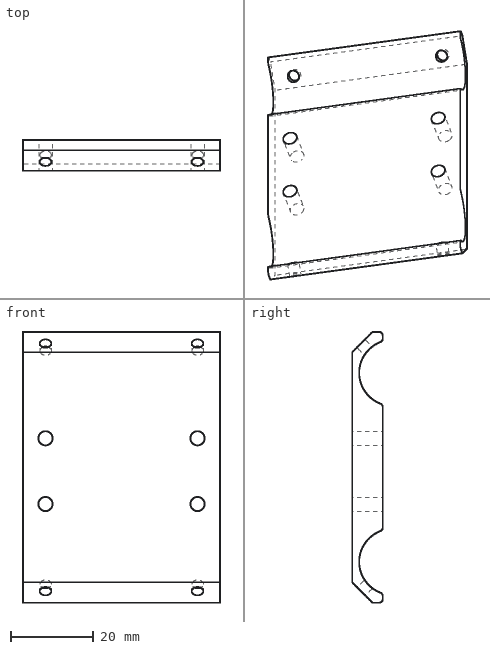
import cadquery as cq

length = 48.0
thickness = 7.5
height = 66.0
edge_bevel = 5.0

saddle_radius = 8.0
saddle_depth = 5.75
saddle_z = 23.0
saddle_y = thickness - saddle_depth + saddle_radius

back_fillet = 1.0

hole_x = 18.5
plate_hole_diameter = 3.4
plate_hole_spacing_z = 16.0
plate_hole_offset_z = -0.93
lip_hole_diameter = 2.8
lip_hole_y = 2.15


def make_plate():
    """Plate with both long front edges bevelled at 45 degrees."""
    plate = cq.Workplane("XY").box(length, thickness, height, centered=(True, False, True))
    return plate.faces("<Y").edges("|X").chamfer(edge_bevel)


def saddle(side):
    """Cylinder that cuts one tube saddle; side is +1 for the upper and -1 for the lower."""
    return (
        cq.Workplane("YZ", origin=(-length / 2, 0, 0))
        .center(saddle_y, side * saddle_z)
        .circle(saddle_radius)
        .extrude(length)
    )


def round_back_edges(body):
    """Round the outer corners and the saddle mouths on the back face."""
    return body.faces(">Y").edges("|X").fillet(back_fillet)


def plate_hole(x, side):
    """Straight hole through the plate thickness."""
    z = plate_hole_offset_z + side * plate_hole_spacing_z / 2
    start = cq.Vector(x, 0, z)
    inward = cq.Vector(0, 1, 0)
    return cq.Solid.makeCylinder(plate_hole_diameter / 2, thickness, start, inward)


def lip_hole(x, side):
    """Hole square to the bevel, from outside the bevel through the lip into the saddle."""
    bevel_z = height / 2 - edge_bevel + lip_hole_y
    start = cq.Vector(x, lip_hole_y - saddle_depth, side * (bevel_z + saddle_depth))
    inward = cq.Vector(0, 1, -side)
    reach = 2 * saddle_radius
    return cq.Solid.makeCylinder(lip_hole_diameter / 2, reach, start, inward)


sides = (1, -1)

result = make_plate()
for side in sides:
    result = result.cut(saddle(side))
result = round_back_edges(result)
for side in sides:
    for x in (-hole_x, hole_x):
        result = result.cut(plate_hole(x, side))
        result = result.cut(lip_hole(x, side))